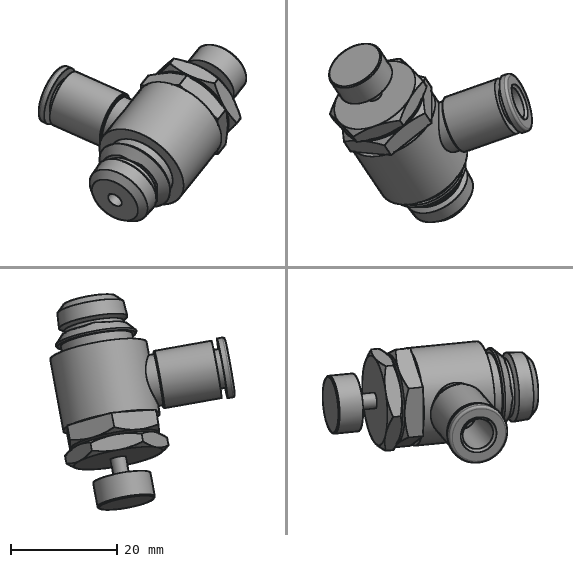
import cadquery as cq
import math


ACROSS_FLATS = 17.0
HEX_SIDES = 6
HEX_CHAMFER_ANGLE = 30
VALVE_HEX_TURN = 30
NUT_HEX_TURN = 0
HEX_CORNER_RADIUS = ACROSS_FLATS / math.sqrt(3)
HEX_CHAMFER = (HEX_CORNER_RADIUS - ACROSS_FLATS / 2) * math.tan(math.radians(HEX_CHAMFER_ANGLE))

CHAMFER_TOP_Y = 1.35
FLARE_BOTTOM_Y = 4.2
FLARE_TOP_Y = 4.8
SEAL_TIP_Y = 5.4
SEAL_BOTTOM_Y = 5.67
SEAL_CREST_Y = 7.3
SEAL_TOP_Y = 7.65
HOUSING_BOTTOM_Y = 9.77
FITTING_Y = 17.2
HOUSING_TOP_Y = 23.68
HEX_TOP_Y = 27.25
NUT_BOTTOM_Y = 27.7
NUT_THICKNESS = 3.0
KNOB_BOTTOM_Y = 34.55
KNOB_TOP_Y = 39.4

PORT_FACE_RADIUS = 5.05
THREAD_LOWER_RADIUS = 6.4
THREAD_UPPER_RADIUS = 6.58
NECK_RADIUS = 5.65
SHAFT_RADIUS = 6.85
SEAL_TIP_RADIUS = 6.05
SEAL_CREST_RADIUS = 7.75
SEAL_TOP_RADIUS = 7.53
HOUSING_RADIUS = 9.25
STEM_RADIUS = 1.5
KNOB_RADIUS = 5.5
KNOB_CHAMFER = 0.25

SEAL_POINT_COUNT = 4
SEAL_POINT_HALF_WIDTH = 2.35
SEAL_UNDERCUT_WIDTH = 0.35
SEAL_WEDGE_OVERSHOOT = 0.05
SEAL_WEDGE_APEX_Y = SEAL_TIP_Y - SEAL_WEDGE_OVERSHOOT

FITTING_REACH = 23.85
COLLAR_INNER_X = 22.38
SLEEVE_OUTER_X = 21.28
SLEEVE_INNER_X = 10.13
COLLAR_RADIUS = 5.75
COLLAR_ROUND = 0.5
COLLAR_NECK_RADIUS = 3.75
SLEEVE_RADIUS = 5.5
SLEEVE_CHAMFER = 0.25
STUB_RADIUS = 4.92
TUBE_RADIUS = 3.0
TUBE_DEPTH = 11.82

PASSAGE_RADIUS = 1.5
PASSAGE_BEND_RADIUS = 1.58


def y_cylinder(radius, y_start, y_end):
    """Cylinder on the valve axis between two heights."""
    return cq.Workplane("XZ", origin=(0, y_start, 0)).circle(radius).extrude(y_start - y_end)


def revolve_about_valve_axis(points):
    """Solid of revolution about the Y axis from (radius, y) points."""
    return cq.Workplane("XY").polyline(points).close().revolve(360, (0, 0, 0), (0, 1, 0))


def chamfered_hex(y_start, y_end, corner_angle, chamfer_start):
    """Hexagonal prism with coned corners at the end face, and at the start face if asked."""
    prism = (
        cq.Workplane("XZ", origin=(0, y_start, 0))
        .transformed(rotate=(0, 0, corner_angle))
        .polygon(HEX_SIDES, 2 * HEX_CORNER_RADIUS)
        .extrude(y_start - y_end)
    )
    flat_radius = ACROSS_FLATS / 2
    if chamfer_start:
        start_points = [(flat_radius, y_start), (HEX_CORNER_RADIUS, y_start + HEX_CHAMFER)]
    else:
        start_points = [(HEX_CORNER_RADIUS, y_start)]
    end_points = [(HEX_CORNER_RADIUS, y_end - HEX_CHAMFER), (flat_radius, y_end)]
    turned = revolve_about_valve_axis([(0, y_start), *start_points, *end_points, (0, y_end)])
    return prism.intersect(turned)


def threaded_end():
    """Tapered port end, its neck and the shaft above, turned in one profile."""
    return revolve_about_valve_axis([
        (0, 0),
        (PORT_FACE_RADIUS, 0),
        (THREAD_LOWER_RADIUS, CHAMFER_TOP_Y),
        (THREAD_UPPER_RADIUS, FLARE_BOTTOM_Y),
        (NECK_RADIUS, FLARE_TOP_Y),
        (NECK_RADIUS, SEAL_TOP_Y),
        (SHAFT_RADIUS, SEAL_TOP_Y),
        (SHAFT_RADIUS, HOUSING_BOTTOM_Y),
        (0, HOUSING_BOTTOM_Y),
    ])


def seal_rim():
    """Conical sealing rim whose lower edge runs down to evenly spaced points."""
    rim = revolve_about_valve_axis([
        (0, SEAL_BOTTOM_Y),
        (SEAL_TIP_RADIUS - SEAL_UNDERCUT_WIDTH, SEAL_BOTTOM_Y),
        (SEAL_TIP_RADIUS, SEAL_TIP_Y),
        (SEAL_CREST_RADIUS, SEAL_CREST_Y),
        (SEAL_TOP_RADIUS, SEAL_TOP_Y),
        (0, SEAL_TOP_Y),
    ])
    kept_region = y_cylinder(HOUSING_RADIUS, SEAL_BOTTOM_Y, HOUSING_BOTTOM_Y)
    wedge = (
        cq.Workplane("XY")
        .moveTo(-SEAL_POINT_HALF_WIDTH, SEAL_BOTTOM_Y)
        .lineTo(0, SEAL_WEDGE_APEX_Y)
        .lineTo(SEAL_POINT_HALF_WIDTH, SEAL_BOTTOM_Y)
        .lineTo(SEAL_POINT_HALF_WIDTH, SEAL_CREST_Y)
        .lineTo(-SEAL_POINT_HALF_WIDTH, SEAL_CREST_Y)
        .close()
        .extrude(SEAL_CREST_RADIUS)
    )
    for index in range(SEAL_POINT_COUNT):
        turn = index * 360 / SEAL_POINT_COUNT
        kept_region = kept_region.union(wedge.rotate((0, 0, 0), (0, 1, 0), turn))
    return rim.intersect(kept_region)


def control_knob():
    """Adjusting knob and its stem, which reaches down to the hexagon."""
    knob = y_cylinder(KNOB_RADIUS, KNOB_BOTTOM_Y, KNOB_TOP_Y).faces(">Y").chamfer(KNOB_CHAMFER)
    return knob.union(y_cylinder(STEM_RADIUS, HEX_TOP_Y, KNOB_BOTTOM_Y))


def x_cylinder(radius, x_start, x_end):
    """Cylinder on the fitting axis between two distances from the valve axis, toward -X."""
    workplane = cq.Workplane("YZ", origin=(-x_start, FITTING_Y, 0))
    return workplane.circle(radius).extrude(x_start - x_end)


def tube_fitting():
    """Push-in tube fitting: stub, sleeve, and the release collar on its neck."""
    sleeve = x_cylinder(SLEEVE_RADIUS, SLEEVE_INNER_X, SLEEVE_OUTER_X)
    sleeve = sleeve.faces(">X").chamfer(SLEEVE_CHAMFER)
    collar = x_cylinder(COLLAR_RADIUS, COLLAR_INNER_X, FITTING_REACH)
    collar = collar.faces("<X").edges().fillet(COLLAR_ROUND)
    return (
        x_cylinder(STUB_RADIUS, 0, SLEEVE_INNER_X)
        .union(sleeve)
        .union(x_cylinder(COLLAR_NECK_RADIUS, SLEEVE_OUTER_X, COLLAR_INNER_X))
        .union(collar)
    )


def tube_seat():
    """Bore that takes the tube, flaring out with a round at its mouth."""
    return (
        cq.Workplane("XY")
        .moveTo(-FITTING_REACH, FITTING_Y)
        .lineTo(-FITTING_REACH, FITTING_Y + TUBE_RADIUS + COLLAR_ROUND)
        .radiusArc((-FITTING_REACH + COLLAR_ROUND, FITTING_Y + TUBE_RADIUS), COLLAR_ROUND)
        .lineTo(-FITTING_REACH + TUBE_DEPTH, FITTING_Y + TUBE_RADIUS)
        .lineTo(-FITTING_REACH + TUBE_DEPTH, FITTING_Y)
        .close()
        .revolve(360, (0, FITTING_Y, 0), (1, FITTING_Y, 0))
    )


def flow_passage():
    """Round passage from the port face, through a quarter bend, to the tube seat."""
    bend_start_y = FITTING_Y - PASSAGE_BEND_RADIUS
    path = (
        cq.Workplane("XY")
        .lineTo(0, bend_start_y)
        .radiusArc((-PASSAGE_BEND_RADIUS, FITTING_Y), -PASSAGE_BEND_RADIUS)
        .lineTo(-FITTING_REACH + TUBE_DEPTH, FITTING_Y)
    )
    return cq.Workplane("XZ").circle(PASSAGE_RADIUS).sweep(path)


def make_valve():
    """Flow control valve with its elbow fitting, hexagon, stem and knob."""
    solid = threaded_end().union(seal_rim())
    solid = solid.union(y_cylinder(HOUSING_RADIUS, HOUSING_BOTTOM_Y, HOUSING_TOP_Y))
    wrench_hex = chamfered_hex(HOUSING_TOP_Y, HEX_TOP_Y, VALVE_HEX_TURN, chamfer_start=False)
    solid = solid.union(wrench_hex)
    solid = solid.union(control_knob()).union(tube_fitting())
    return solid.cut(tube_seat()).cut(flow_passage())


def make_lock_nut():
    """Hexagonal lock nut round the stem, chamfered on both faces."""
    nut_top_y = NUT_BOTTOM_Y + NUT_THICKNESS
    nut = chamfered_hex(NUT_BOTTOM_Y, nut_top_y, NUT_HEX_TURN, chamfer_start=True)
    return nut.cut(y_cylinder(STEM_RADIUS, NUT_BOTTOM_Y, nut_top_y))


valve = make_valve()
lock_nut = make_lock_nut()

result = cq.Compound.makeCompound([valve.val(), lock_nut.val()])